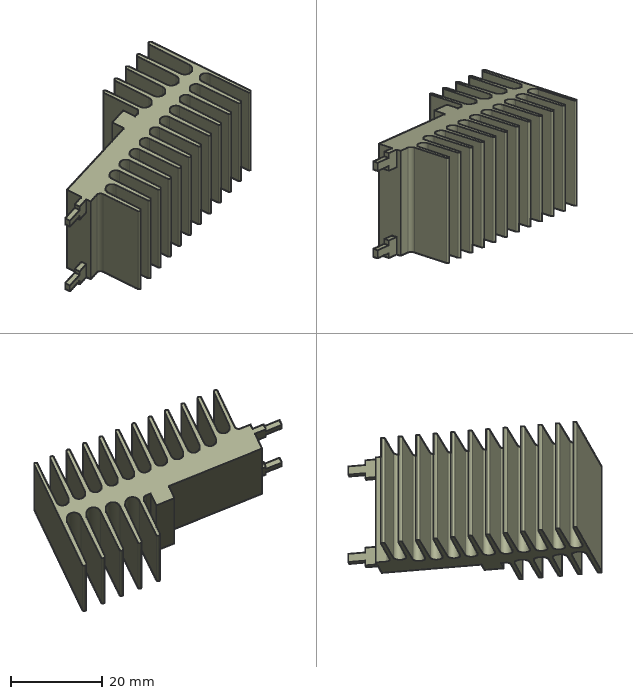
import cadquery as cq
import math

total_length = 53.85
height = 25.0

plate_end = 47.4
plate_thickness = 6.3

left_tip_x = -10.0
right_tip_x = 16.95
fin_tip_thickness = 0.85
fin_draft = math.radians(0.7)
tip_roundness = 0.98
underside_fillet = 0.95

left_pitch = 4.4
left_second_fin = 4.95
left_first_root_x = 2.75
left_root_step = -0.6
left_gap_count = 4

right_pitch = 3.95
right_second_fin = 4.25
right_root_x = 5.0
right_last_root_x = 6.6
right_gap_count = 11

block_start = 20.6
block_length = 4.35
block_depth = 3.1

pin_x = 3.9
pin_thickness = 1.3
shoulder_height = 4.2
shoulder_length = 2.65
pin_tip_height = 1.95

selection_margin = 0.05

left_fins_end = left_second_fin + (left_gap_count - 1) * left_pitch + fin_tip_thickness / 2
right_fins_end = right_second_fin + (right_gap_count - 1) * right_pitch + fin_tip_thickness / 2


def make_body():
    """Plate plus the solid stretches that the gaps divide into fins."""
    outline = [
        (left_tip_x, 0),
        (right_tip_x, 0),
        (right_tip_x, -right_fins_end),
        (plate_thickness, -right_fins_end),
        (plate_thickness, -plate_end),
        (0, -plate_end),
        (0, -left_fins_end),
        (left_tip_x, -left_fins_end),
    ]
    body = cq.Workplane("XY").polyline(outline).close().extrude(height)
    inner_corners = [(plate_thickness, -right_fins_end), (0, -left_fins_end)]
    for x, y in inner_corners:
        corner = cq.selectors.NearestToPointSelector((x, y, height / 2))
        body = body.edges("|Z").edges(corner).fillet(underside_fillet)
    return body


def make_gap(root_x, tip_x, center_y, pitch):
    """Drafted gap between two fins, closed by an arc tangent to both walls."""
    direction = math.copysign(1, tip_x - root_x)
    depth = abs(tip_x - root_x)
    mouth_half = (pitch - fin_tip_thickness) / 2
    radius = (mouth_half - depth * math.tan(fin_draft)) * math.cos(fin_draft) / (1 - math.sin(fin_draft))
    tangent_x = root_x + direction * radius * (1 - math.sin(fin_draft))
    tangent_half = radius * math.cos(fin_draft)
    return (
        cq.Workplane("XY")
        .moveTo(tip_x, center_y + mouth_half)
        .lineTo(tangent_x, center_y + tangent_half)
        .threePointArc((root_x, center_y), (tangent_x, center_y - tangent_half))
        .lineTo(tip_x, center_y - mouth_half)
        .close()
        .extrude(height)
    )


def cut_gaps(body):
    for i in range(left_gap_count):
        center_y = -(left_second_fin + (i - 0.5) * left_pitch)
        root_x = left_first_root_x + i * left_root_step
        body = body.cut(make_gap(root_x, left_tip_x, center_y, left_pitch))
    for i in range(right_gap_count):
        center_y = -(right_second_fin + (i - 0.5) * right_pitch)
        is_last = i == right_gap_count - 1
        root_x = right_last_root_x if is_last else right_root_x
        body = body.cut(make_gap(root_x, right_tip_x, center_y, right_pitch))
    return body


def round_fin_tips(body, tip_x, second_fin, pitch, gap_count):
    """Round the tips of all fins on one side; the end fin is flush with Y = 0."""
    for i in range(gap_count + 1):
        center_y = -(second_fin + (i - 1) * pitch)
        top_y = 0 if i == 0 else center_y + fin_tip_thickness / 2
        bottom_y = center_y - fin_tip_thickness / 2
        tip_box = cq.selectors.BoxSelector(
            (tip_x - selection_margin, bottom_y - selection_margin, 0),
            (tip_x + selection_margin, top_y + selection_margin, height),
        )
        tip_radius = tip_roundness * (top_y - bottom_y) / 2
        body = body.edges("|Z").edges(tip_box).fillet(tip_radius)
    return body


def make_block():
    block = cq.Workplane("XY").box(block_depth, block_length, height, centered=False)
    return block.translate((-block_depth, -block_start - block_length, 0))


def make_pin(bottom_z):
    """Pin whose shoulder starts at bottom_z, with the tip centred on the shoulder."""
    tip_bottom_z = bottom_z + (shoulder_height - pin_tip_height) / 2
    pin_length = total_length - plate_end
    shoulder = cq.Workplane("XY").box(pin_thickness, shoulder_length, shoulder_height, centered=False)
    tip = cq.Workplane("XY").box(pin_thickness, pin_length, pin_tip_height, centered=False)
    shoulder = shoulder.translate((pin_x, -plate_end - shoulder_length, bottom_z))
    return shoulder.union(tip.translate((pin_x, -total_length, tip_bottom_z)))


heat_sink = cut_gaps(make_body())
heat_sink = round_fin_tips(heat_sink, left_tip_x, left_second_fin, left_pitch, left_gap_count)
heat_sink = round_fin_tips(heat_sink, right_tip_x, right_second_fin, right_pitch, right_gap_count)

result = heat_sink.union(make_block())
for pin_bottom_z in (0, height - shoulder_height):
    result = result.union(make_pin(pin_bottom_z))